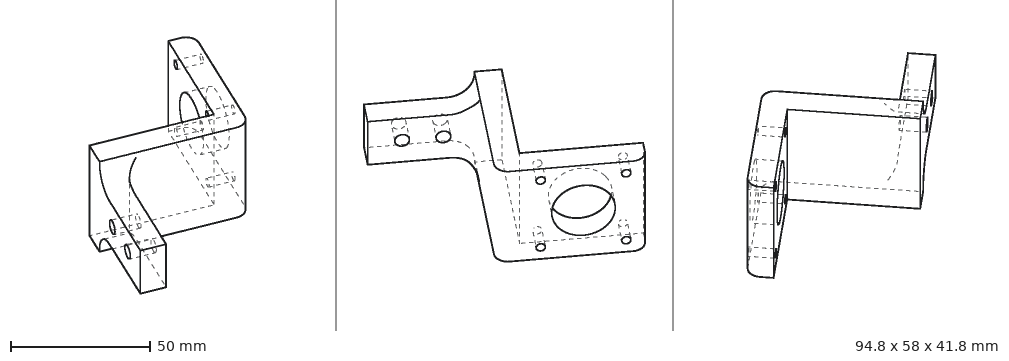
import cadquery as cq

length = 94.8
depth = 58.0
height = 41.8

thickness = 10.0
tab_length = 40.0
tab_height = 20.0
bend_radius = 5.0
flare_radius = 10.0

motor_center_x = 22.95
motor_bore_diameter = 23.0
screw_spacing = 31.0
screw_diameter = 3.3
tab_hole_diameter = 5.3
tab_hole_end_distance = 12.5
tab_hole_pitch = 15.0

wall_right = length - tab_length
wall_left = wall_right - thickness
plate_front = depth - thickness


def make_bracket():
    """Extrude the Z profile and round its bends and free plate corner."""
    profile = [
        (wall_left, 0),
        (length, 0),
        (length, thickness),
        (wall_right, thickness),
        (wall_right, depth),
        (0, depth),
        (0, plate_front),
        (wall_left, plate_front),
    ]
    body = cq.Workplane("XY").polyline(profile).close().extrude(height / 2, both=True)
    rounded_corners = [(wall_right, thickness), (wall_right, depth), (0, depth)]
    for x, y in rounded_corners:
        edge = cq.selectors.NearestToPointSelector((x, y, 0))
        body = body.edges("|Z").edges(edge).fillet(bend_radius)
    return body


def make_tab_relief(side):
    """Space above (side = 1) or below (side = -1) the flared tab."""
    tab_edge = side * tab_height / 2
    outer_edge = side * height / 2
    arc_center = (wall_right + flare_radius, tab_edge + side * flare_radius)
    diagonal = flare_radius / 2**0.5
    arc_middle = (arc_center[0] - diagonal, arc_center[1] - side * diagonal)
    return (
        cq.Workplane("XZ")
        .moveTo(wall_right, outer_edge)
        .lineTo(wall_right, arc_center[1])
        .threePointArc(arc_middle, (arc_center[0], tab_edge))
        .lineTo(length, tab_edge)
        .lineTo(length, outer_edge)
        .close()
        .extrude(-depth)
    )


def make_holes(centers, diameter, start_y):
    """Cylinders along Y through one plate, at the given X, Z centers."""
    return (
        cq.Workplane("XZ", origin=(0, start_y, 0))
        .pushPoints(centers)
        .circle(diameter / 2)
        .extrude(-thickness)
    )


result = make_bracket()
for relief_side in (1, -1):
    result = result.cut(make_tab_relief(relief_side))

screw_offset = screw_spacing / 2
screw_centers = [
    (motor_center_x + x_side * screw_offset, z_side * screw_offset)
    for x_side in (-1, 1)
    for z_side in (-1, 1)
]
result = result.cut(make_holes([(motor_center_x, 0)], motor_bore_diameter, plate_front))
result = result.cut(make_holes(screw_centers, screw_diameter, plate_front))

outer_hole_x = length - tab_hole_end_distance
tab_hole_centers = [(outer_hole_x - tab_hole_pitch, 0), (outer_hole_x, 0)]
result = result.cut(make_holes(tab_hole_centers, tab_hole_diameter, 0))